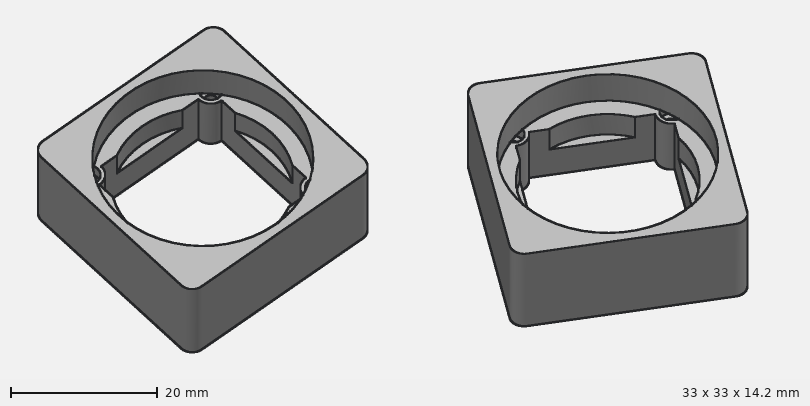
import cadquery as cq

SIDE = 33.0
HEIGHT = 14.2
CORNER_RADIUS = 2.0

BORE_DIAMETER = 30.1
LEDGE_Z = 9.0
RECESS_DIAMETER = 25.0
RECESS_FLOOR_Z = 5.0
WINDOW_SIDE = 22.0

POST_SPACING = WINDOW_SIDE
POST_DIAMETER = 4.5
SCREW_HOLE_DIAMETER = 2.0
HEAD_BORE_DIAMETER = 3.2
HEAD_BORE_DEPTH = 1.98
HEAD_SEAT_DEPTH = 0.35


def cylinder(diameter, bottom_z, top_z):
    """Upright cylinder on the Z axis between two heights."""
    return cq.Workplane("XY").workplane(offset=bottom_z).circle(diameter / 2).extrude(top_z - bottom_z)


def at_posts(tool):
    """Four copies of a solid, one centred on each post axis."""
    corners = cq.Workplane("XY").rect(POST_SPACING, POST_SPACING, forConstruction=True).vertices()
    return corners.eachpoint(lambda place: tool.val().moved(place), combine=False)


def make_housing():
    """Rounded square block with the stepped opening through it."""
    block = cq.Workplane("XY").rect(SIDE, SIDE).extrude(HEIGHT)
    block = block.edges("|Z").fillet(CORNER_RADIUS)
    window = cq.Workplane("XY").rect(WINDOW_SIDE, WINDOW_SIDE).extrude(LEDGE_Z)
    bore = cylinder(BORE_DIAMETER, LEDGE_Z, HEIGHT)
    recess = cylinder(RECESS_DIAMETER, RECESS_FLOOR_Z, LEDGE_Z)
    return block.cut(window).cut(recess).cut(bore)


def make_screw_hole():
    """Through hole with a straight head bore under the ledge and a shallow conical seat."""
    seat_top_z = LEDGE_Z - HEAD_BORE_DEPTH
    hole = cylinder(SCREW_HOLE_DIAMETER, 0, LEDGE_Z)
    head_bore = cylinder(HEAD_BORE_DIAMETER, seat_top_z, LEDGE_Z)
    seat = (
        cq.Workplane("XY")
        .workplane(offset=seat_top_z - HEAD_SEAT_DEPTH)
        .circle(SCREW_HOLE_DIAMETER / 2)
        .workplane(offset=HEAD_SEAT_DEPTH)
        .circle(HEAD_BORE_DIAMETER / 2)
        .loft(ruled=True)
    )
    return hole.union(seat).union(head_bore)


posts = at_posts(cylinder(POST_DIAMETER, 0, LEDGE_Z))
screw_holes = at_posts(make_screw_hole())
result = make_housing().union(posts).cut(screw_holes)